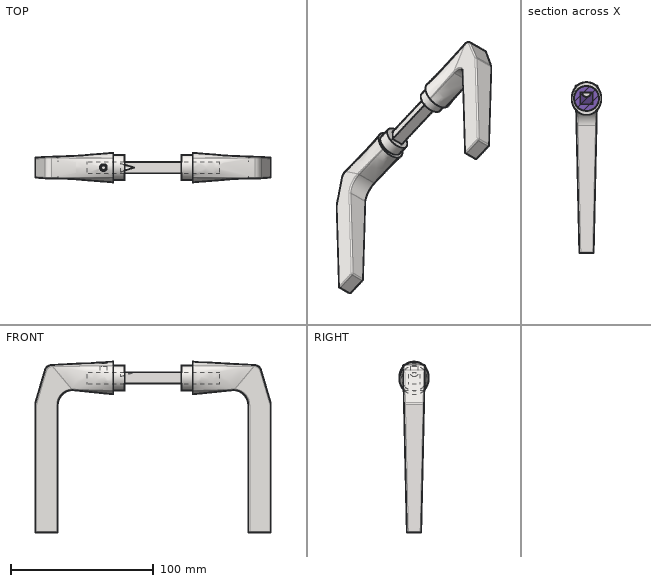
import cadquery as cq
import math

overall_length = 166.0

spindle_width = 8.1
spindle_length = 93.0
seat_tip_x = -13.1
seat_diameter = 6.0
seat_length = 10.0

collar_diameter = 17.8
collar_length = 8.0
collar_gap = 39.8
oval_height = 23.2
oval_width = 21.0
oval_corner_start = 49.0
oval_corner_end = 51.0
oval_spans = 4

handle_bottom_z = -108.9
leg_width = 16.1
leg_end_thickness = 10.3
leg_top_thickness = 15.6
knee_z = -18.0
shoulder_x = -75.0
shoulder_z = 9.0
outer_radius = 5.0
inner_radius = 10.3
edge_radius = 1.0
grip_underside_z = -8.6

screw_x = -34.9
screw_diameter = 5.0
screw_length = 6.1
socket_width = 3.0
socket_depth = 2.0
socket_turn = 30

leg_outer_x = -overall_length / 2
leg_inner_x = leg_outer_x + leg_width
collar_end_x = -collar_gap / 2
oval_x = collar_end_x - collar_length
grip_start_x = leg_inner_x + inner_radius
spindle_top_z = spindle_width / 2


def point_along(start, end, distance):
    """Point at a distance from start on the line towards end (all in the XZ plane)."""
    span = math.dist(start, end)
    return tuple(a + (b - a) * distance / span for a, b in zip(start, end))


def rounding_arc(before, corner, after, radius):
    """Start, middle and end points of the arc that rounds a corner."""
    unit = 1.7
    to_before = point_along(corner, before, unit)
    to_after = point_along(corner, after, unit)
    halfway = tuple((a + b) / 2 for a, b in zip(to_before, to_after))
    half_angle = math.asin(math.dist(to_before, to_after) / (2 * unit))
    tangent_length = radius / math.tan(half_angle)
    apex_distance = radius / math.sin(half_angle) - radius
    return (
        point_along(corner, before, tangent_length),
        point_along(corner, halfway, apex_distance),
        point_along(corner, after, tangent_length),
    )


def make_leg():
    """Leg and elbow, with the outline of the slanted face where the grip starts."""
    toe = (leg_outer_x, handle_bottom_z)
    knee = (leg_outer_x, knee_z)
    shoulder = (shoulder_x, shoulder_z)
    oval_top = (oval_x, oval_height / 2)
    knee_start, knee_middle, knee_end = rounding_arc(toe, knee, shoulder, outer_radius)
    top_start, top_middle, top_end = rounding_arc(knee, shoulder, oval_top, outer_radius)
    grip_start = (grip_start_x, grip_underside_z)
    inner_arc_z = grip_underside_z - inner_radius
    inner_arc_reach = inner_radius * math.cos(math.pi / 4)
    inner_arc_middle = (grip_start_x - inner_arc_reach, inner_arc_z + inner_arc_reach)
    outline = (
        cq.Workplane("XZ")
        .moveTo(*toe)
        .lineTo(*knee_start)
        .threePointArc(knee_middle, knee_end)
        .lineTo(*top_start)
        .threePointArc(top_middle, top_end)
        .lineTo(*grip_start)
        .threePointArc(inner_arc_middle, (leg_inner_x, inner_arc_z))
        .lineTo(leg_inner_x, handle_bottom_z)
        .close()
    )
    taper = (
        cq.Workplane("YZ", origin=(leg_outer_x, 0, 0))
        .polyline([
            (-leg_end_thickness / 2, handle_bottom_z),
            (leg_end_thickness / 2, handle_bottom_z),
            (leg_top_thickness / 2, top_end[1]),
            (-leg_top_thickness / 2, top_end[1]),
        ])
        .close()
        .extrude(overall_length / 2)
    )
    leg = outline.extrude(leg_top_thickness, both=True).intersect(taper)

    grip_face_center = ((top_end[0] + grip_start_x) / 2, 0, (top_end[1] + grip_underside_z) / 2)
    grip_face = cq.selectors.NearestToPointSelector(grip_face_center)
    grip_edges = leg.faces(grip_face).edges().vals()
    rim_edges = leg.faces(">Y or <Y or <Z").edges().vals()
    rounded = [edge for edge in rim_edges if not any(edge.isSame(other) for other in grip_edges)]
    leg = leg.newObject(rounded).fillet(edge_radius)
    return leg, leg.faces(grip_face).val().outerWire()


def oval_point(angle):
    """Point of the oval at an ellipse parameter in degrees, measured from +Y towards +Z."""
    turn = math.radians(angle)
    return cq.Vector(oval_x, oval_width / 2 * math.cos(turn), oval_height / 2 * math.sin(turn))


def make_oval():
    """Ellipse at the collar, divided into four long sides and four short corner stretches."""
    first = [oval_corner_start, oval_corner_end]
    second = [180 - oval_corner_end, 180 - oval_corner_start]
    breaks = first + second + [angle + 180 for angle in first + second]
    arcs = []
    for start, end in zip(breaks, breaks[1:] + [breaks[0] + 360]):
        stops = [start + (end - start) * step / oval_spans for step in range(oval_spans + 1)]
        arcs.append(cq.Edge.makeSpline([oval_point(stop) for stop in stops]))
    return cq.Wire.assembleEdges(arcs)


def make_handle():
    """Left handle: leg, grip and collar, with a square bore for the spindle."""
    leg, grip_outline = make_leg()
    grip = cq.Solid.makeLoft([grip_outline, make_oval()], True)
    collar = (
        cq.Workplane("YZ", origin=(oval_x, 0, 0))
        .circle(collar_diameter / 2)
        .extrude(collar_length)
    )
    return leg.union(cq.Workplane(grip)).union(collar).cut(make_spindle_bar())


def make_spindle_bar():
    """Square bar that fills the bores of both handles."""
    return cq.Workplane("XY").box(spindle_length, spindle_width, spindle_width)


def make_spindle():
    """Square bar with the conical seat, whose axis lies in the top face."""
    seat = cq.Solid.makeCone(
        seat_diameter / 2,
        0,
        seat_length,
        cq.Vector(seat_tip_x - seat_length, 0, spindle_top_z),
        cq.Vector(1, 0, 0),
    )
    return make_spindle_bar().cut(cq.Workplane(seat))


def make_screw_hole():
    """Cutter that opens the grip from the spindle up through its top."""
    return (
        cq.Workplane("XY", origin=(screw_x, 0, spindle_top_z))
        .circle(screw_diameter / 2)
        .extrude(oval_height / 2)
    )


def make_set_screw():
    """Headless screw standing on the spindle, with a hexagon socket in its top."""
    corner_diameter = socket_width / math.cos(math.pi / 6)
    return (
        cq.Workplane("XY", origin=(screw_x, 0, spindle_top_z))
        .circle(screw_diameter / 2)
        .extrude(screw_length)
        .faces(">Z")
        .workplane()
        .transformed(rotate=(0, 0, socket_turn))
        .polygon(6, corner_diameter)
        .cutBlind(-socket_depth)
    )


plain_handle = make_handle()
left_handle = plain_handle.cut(make_screw_hole())
right_handle = plain_handle.mirror("YZ")
spindle = make_spindle()
set_screw = make_set_screw()

result = cq.Compound.makeCompound([
    left_handle.val(),
    right_handle.val(),
    spindle.val(),
    set_screw.val(),
])